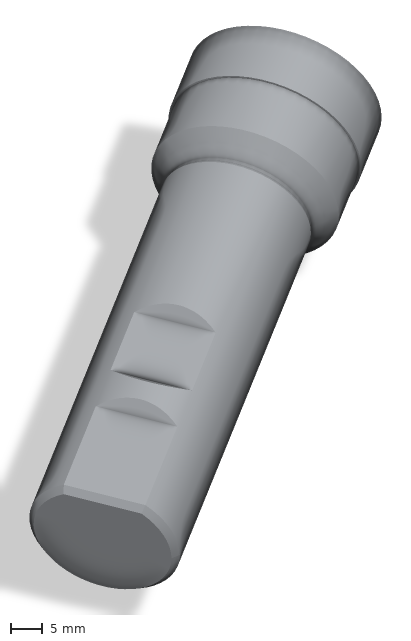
import cadquery as cq

length = 95.0

collar_radius = 32.0 / 2
collar_length = 10.6
barrel_radius = 15.6
cone_start = 20.9
cone_length = 3.7

groove_radius = 12.3
groove_width = 0.6
groove_taper = 0.6

shank_radius = 25.0 / 2
end_chamfer = 1.0
flat_depth = 2.0
end_flat_length = 17.7
pocket_start = 25.4
pocket_length = 12.3


def turned_body():
    """Revolve the half profile (radius, Y) about the Y axis."""
    collar_end = length - collar_length
    cone_top = length - cone_start
    groove_top = cone_top - cone_length
    groove_bottom = groove_top - groove_width
    profile = [
        (0, 0),
        (shank_radius, 0),
        (shank_radius, groove_bottom - groove_taper),
        (groove_radius, groove_bottom),
        (groove_radius, groove_top),
        (barrel_radius, cone_top),
        (barrel_radius, collar_end),
        (collar_radius, collar_end),
        (collar_radius, length),
        (0, length),
    ]
    return cq.Workplane("XY").polyline(profile).close().revolve(360, (0, 0), (0, 1))


def flat_cutter(floor_start, floor_end, start_slope, end_slope):
    """Cutter across X whose floor ends run out along the given Y offsets."""
    floor_z = shank_radius - flat_depth
    return (
        cq.Workplane("YZ")
        .moveTo(floor_start, floor_z)
        .lineTo(floor_end, floor_z)
        .lineTo(floor_end + end_slope, shank_radius)
        .lineTo(floor_start - start_slope, shank_radius)
        .close()
        .extrude(shank_radius, both=True)
    )


end_flat = flat_cutter(0, end_flat_length, 0, flat_depth)
pocket = flat_cutter(pocket_start, pocket_start + pocket_length, flat_depth, flat_depth)

result = turned_body().cut(end_flat).cut(pocket).faces("<Y").chamfer(end_chamfer)